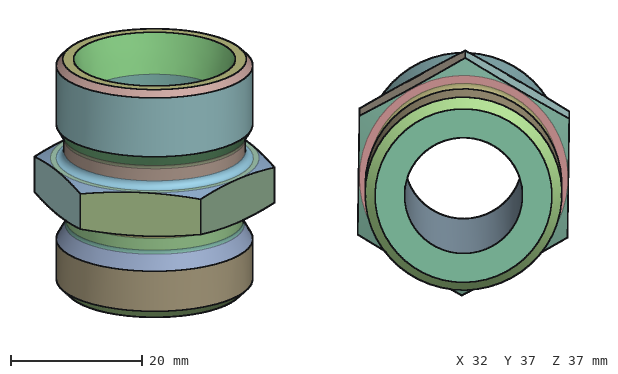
import cadquery as cq
import math

length = 37.0
thread_radius = 30.0 / 2
across_flats = 32.0

hex_bottom = 14.0
hex_height = 7.05
hex_top = hex_bottom + hex_height
hex_chamfer_start_radius = 31.82 / 2
hex_chamfer_angle = math.radians(15)
hex_half_sector = 30
turning_clearance = 0.37

bottom_chamfer = 1.5
top_chamfer = 1.0
lower_shoulder = 8.0
upper_shoulder = 26.5
lower_groove_radius = 27.0 / 2
upper_groove_radius = 27.7 / 2
groove_fillet = 1.2
groove_cone_angle = math.radians(30)

bore_radius = 18.0 / 2
socket_radius = 22.0 / 2
socket_depth = 10.0
mouth_radius = 24.68 / 2
sealing_cone_angle = math.radians(12)


def threaded_end(end, chamfer, shoulder, hex_face, groove_radius):
    """Turn one end, from its chamfered tip to the fillet that meets the hexagon."""
    inward = 1 if hex_face > end else -1
    cone_length = (thread_radius - groove_radius) / math.tan(groove_cone_angle)
    cone_foot = shoulder + inward * cone_length
    tangent = groove_fillet * math.tan(groove_cone_angle / 2)
    slope_r = tangent * math.sin(groove_cone_angle)
    slope_z = tangent * math.cos(groove_cone_angle)

    centre_radius = groove_radius + groove_fillet
    foot_centre = cone_foot + inward * tangent
    half_angle = groove_cone_angle / 2
    foot_middle = (
        centre_radius - groove_fillet * math.cos(half_angle),
        foot_centre - inward * groove_fillet * math.sin(half_angle),
    )
    face_centre = hex_face - inward * groove_fillet
    diagonal = groove_fillet * math.sqrt(0.5)

    return (
        cq.Workplane("XZ")
        .moveTo(0, end)
        .lineTo(thread_radius - chamfer, end)
        .lineTo(thread_radius, end + inward * chamfer)
        .lineTo(thread_radius, shoulder)
        .lineTo(groove_radius + slope_r, cone_foot - inward * slope_z)
        .threePointArc(foot_middle, (groove_radius, foot_centre))
        .lineTo(groove_radius, face_centre)
        .threePointArc(
            (centre_radius - diagonal, face_centre + inward * diagonal),
            (centre_radius, hex_face),
        )
        .lineTo(0, hex_face)
        .close()
        .revolve(360, (0, 0), (0, 1))
    )


def chamfered_hexagon():
    """Hexagon with corners on the Y axis, its corners turned off at both faces."""
    corner_radius = across_flats / 2 / math.cos(math.radians(hex_half_sector))
    prism = (
        cq.Workplane("XY", origin=(0, 0, hex_bottom))
        .polygon(6, 2 * corner_radius)
        .extrude(hex_height)
        .rotate((0, 0, 0), (0, 0, 1), hex_half_sector)
    )
    envelope_radius = corner_radius + turning_clearance
    drop = (envelope_radius - hex_chamfer_start_radius) * math.tan(hex_chamfer_angle)
    envelope = (
        cq.Workplane("XZ")
        .moveTo(0, hex_bottom)
        .lineTo(hex_chamfer_start_radius, hex_bottom)
        .lineTo(envelope_radius, hex_bottom + drop)
        .lineTo(envelope_radius, hex_top - drop)
        .lineTo(hex_chamfer_start_radius, hex_top)
        .lineTo(0, hex_top)
        .close()
        .revolve(360, (0, 0), (0, 1))
    )
    return prism.intersect(envelope)


def stepped_bore():
    """Through bore opening into the socket and the sealing cone at the top end."""
    cone_depth = (mouth_radius - socket_radius) / math.tan(sealing_cone_angle)
    return (
        cq.Workplane("XZ")
        .lineTo(bore_radius, 0)
        .lineTo(bore_radius, length - socket_depth)
        .lineTo(socket_radius, length - socket_depth)
        .lineTo(socket_radius, length - cone_depth)
        .lineTo(mouth_radius, length)
        .lineTo(0, length)
        .close()
        .revolve(360, (0, 0), (0, 1))
    )


lower_end = threaded_end(0, bottom_chamfer, lower_shoulder, hex_bottom, lower_groove_radius)
upper_end = threaded_end(length, top_chamfer, upper_shoulder, hex_top, upper_groove_radius)
result = chamfered_hexagon().union(lower_end).union(upper_end).cut(stepped_bore())